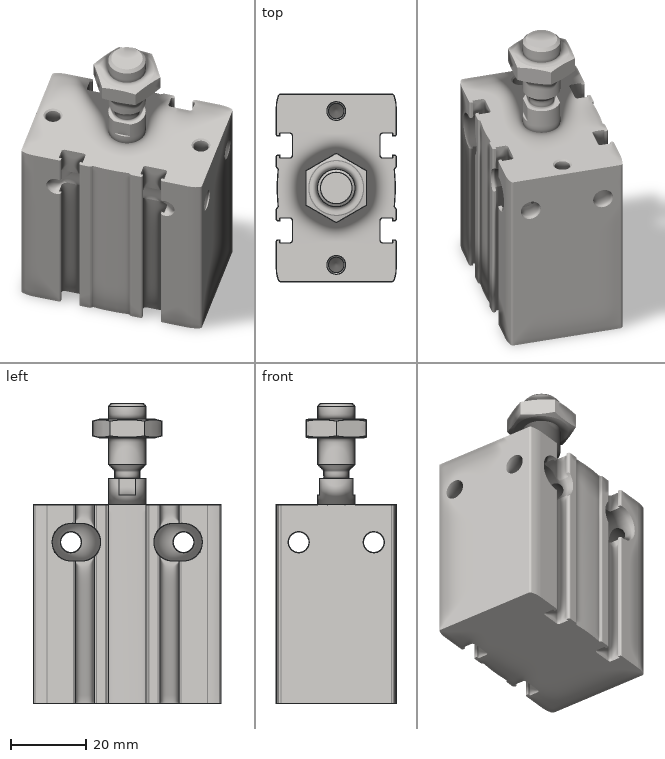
import cadquery as cq
import math


WIDTH = 32.0
DEPTH = 50.0
HEIGHT = 53.0
HALF_WIDTH = WIDTH / 2
HALF_DEPTH = DEPTH / 2

CORNER_ARC_RADIUS = 9.0
CORNER_ARC_START = 21.4
CORNER_FILLET = 0.7

RECESS_HALF_WIDTH = 5.0
RECESS_DEPTH = 0.5
RECESS_RIM = 5.65
RECESS_RIM_FILLET = 0.5
CROWN_RADIUS = 50.0

SLOT_CENTRE = 11.3
SLOT_MOUTH = 5.1
SLOT_WIDTH = 6.6
SLOT_DEPTH = 4.3
SLOT_LIP = 1.0
SLOT_FILLET = 0.7
LIP_FILLET = 0.5

MOUNT_HOLE_DIAMETER = 5.5
MOUNT_HOLE_HEIGHT = 43.0
Y_HOLE_OFFSET = 10.0
X_HOLE_OFFSET = 15.0
SEAT_DIAMETER = 10.0
SEAT_INNER_OFFSET = 12.1
SEAT_DEPTH = 9.0

TAP_OFFSET = 20.5
TAP_DRILL_DIAMETER = 4.13
TAP_MOUTH_DIAMETER = 5.0
TAP_DEPTH = 10.0
DRILL_POINT_ANGLE = 118.0

ROD_DIAMETER = 10.0
ROD_TOP = 80.0
ROD_SHOULDER = 60.0
ROD_TIP_DIAMETER = 8.4
NECK_DIAMETER = 6.67
NECK_TOP = 62.1
NECK_FILLET = 0.2
FLATS_WIDTH = 9.0
FLATS_BOTTOM = 55.6

NUT_ACROSS_FLATS = 16.0
NUT_HEIGHT = 5.0
NUT_BOTTOM = 70.8
NUT_FACE_DIAMETER = 14.6
NUT_CHAMFER_ANGLE = 15.0
HEXAGON_SIDES = 6
HEXAGON_HALF_ANGLE = math.pi / HEXAGON_SIDES


def circle_height(radius, offset):
    """Height of a circle above its centre at a sideways offset from the centre."""
    return math.sqrt(radius**2 - offset**2)


def extruded_blank():
    """Housing section without its slots, extruded to full height."""
    arc_centre_x = HALF_WIDTH - CORNER_ARC_RADIUS
    arc_rise = HALF_DEPTH - CORNER_ARC_START
    corner_x = arc_centre_x + circle_height(CORNER_ARC_RADIUS, arc_rise)
    arc_mid_angle = math.asin(arc_rise / CORNER_ARC_RADIUS) / 2
    arc_mid_x = arc_centre_x + CORNER_ARC_RADIUS * math.cos(arc_mid_angle)
    arc_mid_y = CORNER_ARC_START + CORNER_ARC_RADIUS * math.sin(arc_mid_angle)
    recess_x = HALF_WIDTH - RECESS_DEPTH
    crown_x = recess_x + CROWN_RADIUS - circle_height(CROWN_RADIUS, RECESS_HALF_WIDTH)

    blank = (
        cq.Workplane("XY")
        .moveTo(0, -HALF_DEPTH)
        .lineTo(corner_x, -HALF_DEPTH)
        .threePointArc((arc_mid_x, -arc_mid_y), (HALF_WIDTH, -CORNER_ARC_START))
        .lineTo(HALF_WIDTH, -RECESS_RIM)
        .lineTo(recess_x, -RECESS_HALF_WIDTH)
        .threePointArc((crown_x, 0), (recess_x, RECESS_HALF_WIDTH))
        .lineTo(HALF_WIDTH, RECESS_RIM)
        .lineTo(HALF_WIDTH, CORNER_ARC_START)
        .threePointArc((arc_mid_x, arc_mid_y), (corner_x, HALF_DEPTH))
        .lineTo(0, HALF_DEPTH)
        .mirrorY()
        .extrude(HEIGHT)
        .clean()
    )
    blank = fillet_long_edges(blank, corner_x, HALF_DEPTH, CORNER_FILLET)
    return fillet_long_edges(blank, HALF_WIDTH, RECESS_RIM, RECESS_RIM_FILLET)


def fillet_long_edges(solid, x, y, radius):
    """Round the four vertical edges at (+-x, +-y)."""
    reach = 0.01
    for side_x in (1, -1):
        for side_y in (1, -1):
            low = (side_x * x - reach, side_y * y - reach, -reach)
            high = (side_x * x + reach, side_y * y + reach, HEIGHT + reach)
            long_edge = cq.selectors.BoxSelector(low, high, boundingbox=True)
            solid = solid.edges(long_edge).fillet(radius)
    return solid


def t_slot(side_x, side_y):
    """Cutter of one T-slot with a rounded floor."""
    chamber_depth = SLOT_DEPTH - SLOT_LIP
    chamber_x = HALF_WIDTH - SLOT_LIP - chamber_depth / 2
    mouth_x = HALF_WIDTH - SLOT_LIP / 2
    floor_side = "<X" if side_x > 0 else ">X"
    chamber = (
        cq.Workplane("XY")
        .center(side_x * chamber_x, side_y * SLOT_CENTRE)
        .rect(chamber_depth, SLOT_WIDTH)
        .extrude(HEIGHT)
        .faces(floor_side)
        .edges("|Z")
        .fillet(SLOT_FILLET)
    )
    mouth = (
        cq.Workplane("XY")
        .center(side_x * mouth_x, side_y * SLOT_CENTRE)
        .rect(SLOT_LIP, SLOT_MOUTH)
        .extrude(HEIGHT)
    )
    return chamber.union(mouth)


def y_mount_hole(x):
    """Through hole along Y at the given X."""
    return (
        cq.Workplane("XZ", origin=(x, HALF_DEPTH, MOUNT_HOLE_HEIGHT))
        .circle(MOUNT_HOLE_DIAMETER / 2)
        .extrude(DEPTH)
    )


def x_mount_hole(side_y):
    """Through hole along X with an oblong bolt-head seat in the -X side."""
    hole = (
        cq.Workplane("YZ", origin=(-HALF_WIDTH, side_y * X_HOLE_OFFSET, MOUNT_HOLE_HEIGHT))
        .circle(MOUNT_HOLE_DIAMETER / 2)
        .extrude(WIDTH)
    )
    seat_y = side_y * (X_HOLE_OFFSET + SEAT_INNER_OFFSET) / 2
    seat_length = X_HOLE_OFFSET - SEAT_INNER_OFFSET + SEAT_DIAMETER
    seat = (
        cq.Workplane("YZ", origin=(-HALF_WIDTH, seat_y, MOUNT_HOLE_HEIGHT))
        .slot2D(seat_length, SEAT_DIAMETER)
        .extrude(SEAT_DEPTH)
    )
    return hole.union(seat)


def tapped_hole(y):
    """Countersunk blind hole with a drill point, revolved about its own axis."""
    drill_radius = TAP_DRILL_DIAMETER / 2
    mouth_radius = TAP_MOUTH_DIAMETER / 2
    mouth_depth = mouth_radius - drill_radius
    point_depth = drill_radius / math.tan(math.radians(DRILL_POINT_ANGLE / 2))
    return (
        cq.Workplane("XZ", origin=(0, y, HEIGHT))
        .polyline(
            [
                (0, 0),
                (mouth_radius, 0),
                (drill_radius, -mouth_depth),
                (drill_radius, -TAP_DEPTH),
                (0, -TAP_DEPTH - point_depth),
            ]
        )
        .close()
        .revolve(360, (0, 0), (0, 1))
    )


def make_housing():
    """Extruded housing with its slots and holes."""
    body = extruded_blank()
    for side_x in (1, -1):
        for side_y in (1, -1):
            body = body.cut(t_slot(side_x, side_y))
    for lip_edge in (SLOT_CENTRE - SLOT_MOUTH / 2, SLOT_CENTRE + SLOT_MOUTH / 2):
        body = fillet_long_edges(body, HALF_WIDTH, lip_edge, LIP_FILLET)
    for side in (1, -1):
        body = body.cut(y_mount_hole(side * Y_HOLE_OFFSET))
        body = body.cut(x_mount_hole(side))
        body = body.cut(tapped_hole(side * TAP_OFFSET))
    return body


def make_rod():
    """Rod standing on the housing, with wrench flats, a necked relief and a chamfered tip."""
    rod_radius = ROD_DIAMETER / 2
    neck_radius = NECK_DIAMETER / 2
    tip_radius = ROD_TIP_DIAMETER / 2
    rod = (
        cq.Workplane("XZ")
        .polyline(
            [
                (0, HEIGHT),
                (rod_radius, HEIGHT),
                (rod_radius, ROD_SHOULDER),
                (neck_radius, ROD_SHOULDER),
                (neck_radius, NECK_TOP),
                (rod_radius, NECK_TOP + rod_radius - neck_radius),
                (rod_radius, ROD_TOP - rod_radius + tip_radius),
                (tip_radius, ROD_TOP),
                (0, ROD_TOP),
            ]
        )
        .close()
        .revolve(360, (0, 0), (0, 1))
    )
    neck_ends = cq.selectors.RadiusNthSelector(0)
    rod = rod.edges(neck_ends).fillet(NECK_FILLET)
    flats_height = ROD_SHOULDER - FLATS_BOTTOM
    flat_cut = (ROD_DIAMETER - FLATS_WIDTH) / 2
    flat_x = (FLATS_WIDTH + flat_cut) / 2
    flats = (
        cq.Workplane("XY", origin=(0, 0, FLATS_BOTTOM))
        .pushPoints([(-flat_x, 0), (flat_x, 0)])
        .rect(flat_cut, ROD_DIAMETER)
        .extrude(flats_height)
    )
    return rod.cut(flats)


def make_nut():
    """Hexagon nut with flats facing +-X and conical chamfers on both faces."""
    corner_radius = NUT_ACROSS_FLATS / 2 / math.cos(HEXAGON_HALF_ANGLE)
    face_radius = NUT_FACE_DIAMETER / 2
    chamfer_drop = (corner_radius - face_radius) * math.tan(math.radians(NUT_CHAMFER_ANGLE))
    hexagon = (
        cq.Workplane("XY", origin=(0, 0, NUT_BOTTOM))
        .polygon(HEXAGON_SIDES, 2 * corner_radius)
        .extrude(NUT_HEIGHT)
        .rotate((0, 0, 0), (0, 0, 1), math.degrees(HEXAGON_HALF_ANGLE))
    )
    envelope = (
        cq.Workplane("XZ", origin=(0, 0, NUT_BOTTOM))
        .polyline(
            [
                (0, 0),
                (face_radius, 0),
                (corner_radius, chamfer_drop),
                (corner_radius, NUT_HEIGHT - chamfer_drop),
                (face_radius, NUT_HEIGHT),
                (0, NUT_HEIGHT),
            ]
        )
        .close()
        .revolve(360, (0, 0), (0, 1))
    )
    bore = (
        cq.Workplane("XY", origin=(0, 0, NUT_BOTTOM))
        .circle(ROD_DIAMETER / 2)
        .extrude(NUT_HEIGHT)
    )
    return hexagon.intersect(envelope).cut(bore)


housing = make_housing()
rod = make_rod()
nut = make_nut()

result = cq.Compound.makeCompound([housing.val(), rod.val(), nut.val()])